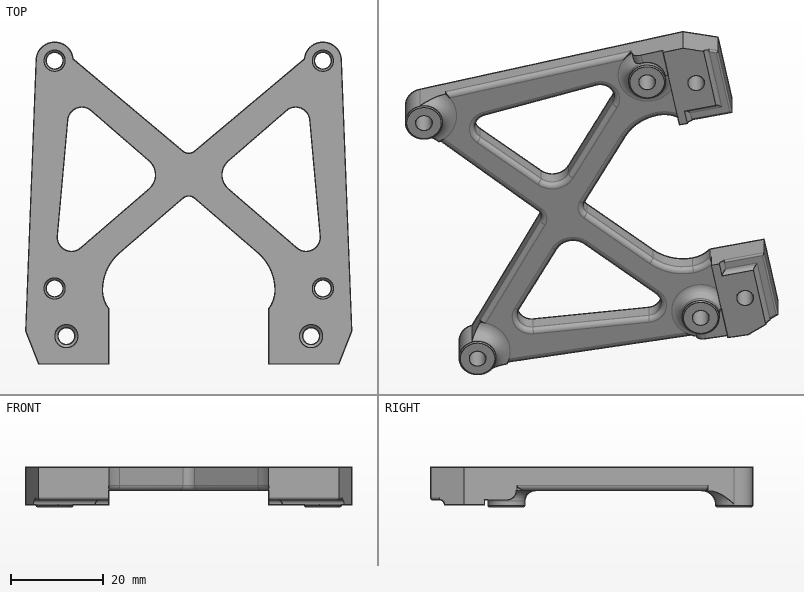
import cadquery as cq
import math

height = 8.6
plate_thickness = 5.05
plate_bottom = height - plate_thickness
plate_edge_round = 1.1
foot_bottom = 0.5
ledge_bottom = 1.55

length = 69.4
half_width = 35.15
side_corner_y = 7.2
front_corner_x = 32.3
leg_inner_x = 17.2
leg_inner_end_y = 11.95

pad_diameter = 8.0
pad_radius = pad_diameter / 2
pad_x = 28.9
rear_pad_y = length - pad_radius
front_pad_y = 16.3
rear_pad_root_round = plate_bottom - foot_bottom
front_pad_root_round = 2.25
pad_rim_chamfer = 0.3

rear_arm_angle = math.radians(40)
front_arm_angle = math.radians(40.8)
rear_crotch_y = 44.85
front_crotch_y = 36.8
crotch_round = 2.0
bay_radius = 10.55
bay_side_x = 18.55

window_corners = [
    ((25.5, 58.5), 3.0),
    ((28.95, 20.2), 3.0),
    ((5.05, 40.75), 4.0),
]

hole_diameter = 3.6
pad_hole_mouth = 4.6
leg_hole_mouth = 5.0
leg_hole_x = 26.35
leg_hole_y = 6.05

foot_end_y = 11.6
foot_edge_round = 0.4
sole_setback = 2.95
sole_setback_end_y = 9.85
sole_root_round = ledge_bottom - foot_bottom
ledge_end_y = 18.4

SIDES = (1, -1)


def outline_half():
    """Right half of the outline, without the rear lugs and crotch rounds."""
    bay_x = bay_side_x - bay_radius
    tangent_x = bay_x + bay_radius * math.sin(front_arm_angle)
    tangent_y = front_crotch_y - tangent_x * math.tan(front_arm_angle)
    bay_y = tangent_y - bay_radius * math.cos(front_arm_angle)
    rear_x = pad_x - pad_radius * math.sin(rear_arm_angle)
    return (
        cq.Workplane("XY")
        .moveTo(0, front_crotch_y)
        .lineTo(tangent_x, tangent_y)
        .radiusArc((bay_side_x, bay_y), bay_radius)
        .tangentArcPoint((leg_inner_x, leg_inner_end_y), relative=False)
        .lineTo(leg_inner_x, 0)
        .lineTo(front_corner_x, 0)
        .lineTo(half_width, side_corner_y)
        .lineTo(pad_x + pad_radius, rear_pad_y)
        .lineTo(pad_x, rear_pad_y)
        .lineTo(rear_x, rear_crotch_y + rear_x * math.tan(rear_arm_angle))
        .lineTo(0, rear_crotch_y)
        .close()
    )


def outline_solid(bottom):
    """Full outline, with lugs and crotch rounds, from bottom to the top face."""
    depth = height - bottom
    half = outline_half().extrude(depth)
    body = half.union(half.mirror("YZ"))
    for side in SIDES:
        lug = cq.Workplane("XY").center(side * pad_x, rear_pad_y).circle(pad_radius).extrude(depth)
        body = body.union(lug)
    for crotch_y in (front_crotch_y, rear_crotch_y):
        crotch_edge = cq.selectors.NearestToPointSelector((0, crotch_y, depth / 2))
        body = body.edges("|Z").edges(crotch_edge).fillet(crotch_round)
    return body.translate((0, 0, bottom))


def window(side):
    """Triangular window with rounded corners; side is 1 for right, -1 for left."""
    corners = [(side * x, y) for (x, y), radius in window_corners]
    prism = cq.Workplane("XY").polyline(corners).close().extrude(height)
    for (x, y), radius in window_corners:
        corner_edge = cq.selectors.NearestToPointSelector((side * x, y, height / 2))
        prism = prism.edges(corner_edge).fillet(radius)
    return prism


def pad(x, y, root_round):
    """Round pad with a rounded root where it meets the plate."""
    root = plate_bottom
    profile = (
        cq.Workplane("XZ")
        .moveTo(0, 0)
        .lineTo(pad_radius - pad_rim_chamfer, 0)
        .lineTo(pad_radius, pad_rim_chamfer)
        .lineTo(pad_radius, root - root_round)
        .radiusArc((pad_radius + root_round, root), root_round)
        .lineTo(pad_radius + root_round, root + plate_edge_round)
        .lineTo(0, root + plate_edge_round)
        .close()
    )
    return profile.revolve(360, (0, 0, 0), (0, 1, 0)).translate((x, y, 0))


def foot_block():
    """Leg ends above the soles, with rounded bottom edges."""
    front_part = cq.Workplane("XY").box(2 * half_width, foot_end_y, height, centered=(True, False, False))
    block = outline_solid(ledge_bottom).intersect(front_part)
    return block.faces("<Z").edges().fillet(foot_edge_round)


def sole_layer(plane, start, end):
    """Slab of sole thickness from start to end, with a concave round at its start."""
    root_start = start - sole_root_round
    root_top = ledge_bottom + foot_edge_round
    return (
        cq.Workplane(plane)
        .moveTo(root_start, root_top)
        .lineTo(root_start, ledge_bottom)
        .radiusArc((start, foot_bottom), sole_root_round)
        .lineTo(end, foot_bottom)
        .lineTo(end, root_top)
        .close()
        .extrude(length, both=True)
    )


def soles():
    """Soles of both feet: set back at the front, and on the inner side up to the rear strip."""
    front_setback = sole_layer("YZ", sole_setback, foot_end_y)
    inner_setback = sole_layer("XZ", leg_inner_x + sole_setback, half_width)
    rear_strip = sole_layer("YZ", sole_setback_end_y, foot_end_y)
    both_sides = inner_setback.union(inner_setback.mirror("YZ"))
    return front_setback.intersect(both_sides).union(rear_strip).intersect(outline_solid(0))


def ledge():
    """Shallower step beside the front pad, from the pad out to the side wall."""
    drop = plate_bottom - ledge_bottom
    profile = (
        cq.Workplane("YZ")
        .moveTo(foot_end_y, height)
        .lineTo(foot_end_y, ledge_bottom)
        .lineTo(ledge_end_y - drop, ledge_bottom)
        .radiusArc((ledge_end_y, plate_bottom), -drop)
        .lineTo(ledge_end_y, height)
        .close()
    )
    right = profile.extrude(half_width - pad_x).translate((pad_x, 0, 0))
    return right.union(right.mirror("YZ"))


def hole(x, y, mouth):
    """Through hole with a 45 degree chamfer at the top face."""
    chamfer = (mouth - hole_diameter) / 2
    shaft = cq.Workplane("XY").circle(hole_diameter / 2).extrude(height)
    cone = cq.Workplane("XY").circle(mouth / 2).extrude(-chamfer, taper=45)
    return shaft.union(cone.translate((0, 0, height))).translate((x, y, 0))


plate = outline_solid(plate_bottom)
for side in SIDES:
    plate = plate.cut(window(side))
plate = plate.faces("<Z").edges().fillet(plate_edge_round)

underside = ledge()
for side in SIDES:
    underside = underside.union(pad(side * pad_x, rear_pad_y, rear_pad_root_round))
    underside = underside.union(pad(side * pad_x, front_pad_y, front_pad_root_round))
underside = underside.intersect(outline_solid(0))

result = plate.union(foot_block()).union(soles()).union(underside)
for side in SIDES:
    for y in (rear_pad_y, front_pad_y):
        result = result.cut(hole(side * pad_x, y, pad_hole_mouth))
    result = result.cut(hole(side * leg_hole_x, leg_hole_y, leg_hole_mouth))